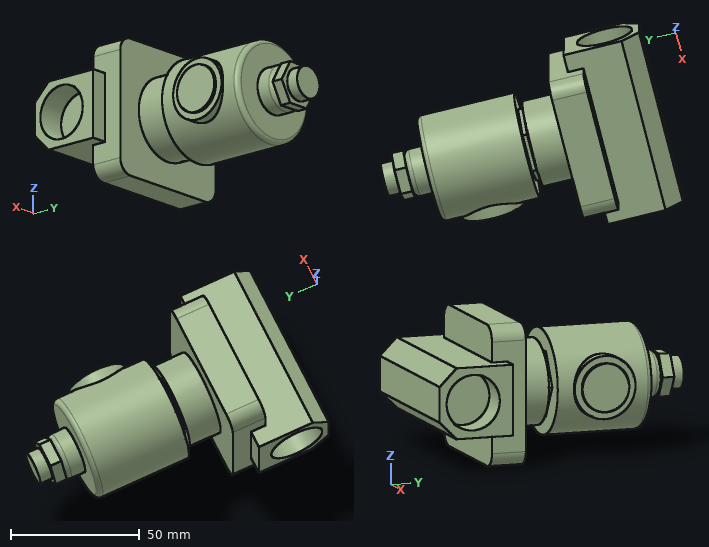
import cadquery as cq
import math

BLOCK_LENGTH = 70.0
BLOCK_HEIGHT = 0.4 * BLOCK_LENGTH
BLOCK_BACK = 30.2
BLOCK_CHAMFER = 7.0
FLANGE_SIDE = 2 * BLOCK_HEIGHT
FLANGE_FRONT = 24.0
FLANGE_BACK = 38.0
FLANGE_CORNER_RADIUS = 6.0
NECK_RADIUS = 17.1
NECK_END = 51.3
PORT_RADIUS = 11.0
PORT_CENTER_Y = 13.8
PORT_DEPTH = 12.2

LOWER_HEX_FRONT = 51.8
COIL_FRONT = 53.5
COIL_BACK = 92.7
COLLAR_END = 100.8
NUT_END = 105.5
TIP_END = 110.6
LOWER_HEX_FLATS = 25.5
COIL_RADIUS = 21.1
COIL_EDGE_RADIUS = 2.0
COLLAR_RADIUS = 9.5
COLLAR_EDGE_RADIUS = 2.2
NUT_FLATS = 17.0
TIP_RADIUS = 6.6

CONNECTOR_Y = 72.7
CONNECTOR_RADIUS = 12.5
CONNECTOR_END = 22.1
CONNECTOR_FACE_RADIUS = 9.6
CONNECTOR_FACE_END = 23.1


def y_plane(y):
    """Work plane facing +Y, with its local x axis along global X."""
    return cq.Workplane(cq.Plane(origin=(0, y, 0), xDir=(1, 0, 0), normal=(0, 1, 0)))


def x_plane(x, y):
    """Work plane facing +X, centred at the given X and Y."""
    return cq.Workplane("YZ", origin=(x, y, 0))


def y_cylinder(radius, start, end):
    return y_plane(start).circle(radius).extrude(end - start)


def y_hexagon(flats, start, end):
    """Hexagonal prism along Y with two corners on the X axis."""
    across_corners = flats / math.cos(math.pi / 6)
    return y_plane(start).polygon(6, across_corners).extrude(end - start)


def x_cylinder(radius, y, start, end):
    return x_plane(start, y).circle(radius).extrude(end - start)


def make_block():
    block = cq.Workplane("XY").box(BLOCK_LENGTH, BLOCK_BACK, BLOCK_HEIGHT)
    block = block.translate((0, BLOCK_BACK / 2, 0))
    return block.faces("<Y").edges("|X").chamfer(BLOCK_CHAMFER)


def make_flange():
    flange = y_plane(FLANGE_FRONT).rect(FLANGE_SIDE, FLANGE_SIDE).extrude(FLANGE_BACK - FLANGE_FRONT)
    return flange.edges("|Y").fillet(FLANGE_CORNER_RADIUS)


def make_valve_body():
    """Block, flange and neck with a blind round port in each end of the block."""
    body = make_block().union(make_flange())
    body = body.union(y_cylinder(NECK_RADIUS, FLANGE_BACK, NECK_END))
    block_end = BLOCK_LENGTH / 2
    for start, end in ((-block_end, PORT_DEPTH - block_end), (block_end - PORT_DEPTH, block_end)):
        body = body.cut(x_cylinder(PORT_RADIUS, PORT_CENTER_Y, start, end))
    return body


def make_coil():
    coil = y_cylinder(COIL_RADIUS, COIL_FRONT, COIL_BACK)
    coil = coil.faces(">Y").edges().fillet(COIL_EDGE_RADIUS)
    coil = coil.union(x_cylinder(CONNECTOR_RADIUS, CONNECTOR_Y, 0, CONNECTOR_END))
    return coil.union(x_cylinder(CONNECTOR_FACE_RADIUS, CONNECTOR_Y, 0, CONNECTOR_FACE_END))


def make_solenoid():
    """Coil with its mounting hexagon below and the collar, nut and tip above."""
    seat = y_cylinder(LOWER_HEX_FLATS / 2, NECK_END, LOWER_HEX_FRONT)
    lower_hex = y_hexagon(LOWER_HEX_FLATS, LOWER_HEX_FRONT, COIL_FRONT)
    collar = y_cylinder(COLLAR_RADIUS, COIL_BACK, COLLAR_END)
    collar = collar.faces(">Y").edges().fillet(COLLAR_EDGE_RADIUS)
    nut = y_hexagon(NUT_FLATS, COLLAR_END, NUT_END)
    tip = y_cylinder(TIP_RADIUS, NUT_END, TIP_END)
    solenoid = make_coil()
    for piece in (seat, lower_hex, collar, nut, tip):
        solenoid = solenoid.union(piece)
    return solenoid


valve_body = make_valve_body()
solenoid = make_solenoid()
result = cq.Compound.makeCompound([valve_body.val(), solenoid.val()])